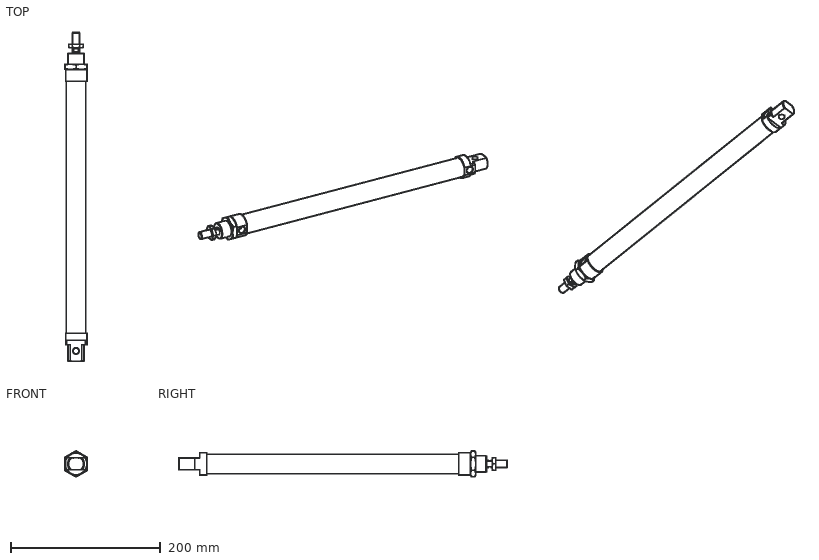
import cadquery as cq
import math

total_length = 440.0

tang_length = 22.0
tang_diameter = 22.0
tang_thickness = 16.0
tang_end_chamfer = 1.0
tang_shoulder = 28.3
pin_hole_diameter = 8.0
pin_hole_y = 14.0

cap_diameter = 30.0
cap_length = 16.0
tube_diameter = 26.5
port_flat_width = 11.6
port_diameter = 8.8
port_depth = 13.0
port_mouth_diameter = 10.0

thread_length = 22.0
front_shoulder_from_tip = 49.4
neck_diameter = 22.0
neck_end_from_tip = 28.0
neck_end_chamfer = 0.8
front_cap_chamfer = 0.5

rod_diameter = 10.0
rod_flat_width = 8.0
rod_flat_length = 4.0
rod_tip_chamfer = 0.8

mounting_nut_width = 30.0
mounting_nut_height = 7.0
mounting_nut_chamfer_diameter = 29.7
rod_nut_width = 17.0
rod_nut_height = 5.0
rod_nut_chamfer_diameter = 17.0
rod_nut_from_tip = 15.5
nut_chamfer_slope = math.tan(math.radians(30))

front_shoulder_y = total_length - front_shoulder_from_tip
front_cap_y = front_shoulder_y - cap_length
rear_cap_end_y = tang_length + cap_length
neck_end_y = total_length - neck_end_from_tip
thread_start_y = total_length - thread_length
port_flat_x = math.sqrt(cap_diameter**2 - port_flat_width**2) / 2


def rod_axis_cylinder(diameter, start_y, end_y):
    """Cylinder around the Y axis between two places along it."""
    plane = cq.Workplane("XZ", origin=(0, start_y, 0))
    return plane.circle(diameter / 2).extrude(start_y - end_y)


def block(x_range, y_range, z_range):
    (x0, x1), (y0, y1), (z0, z1) = x_range, y_range, z_range
    return cq.Workplane("XY").box(x1 - x0, y1 - y0, z1 - z0, centered=False).translate((x0, y0, z0))


def cut_port(body, cap_start_y):
    """Cut a flat along the -X side of a cap and a countersunk air port in its middle."""
    cap_end_y = cap_start_y + cap_length
    radius = cap_diameter / 2
    flat = block((-cap_diameter, -port_flat_x), (cap_start_y, cap_end_y), (-radius, radius))
    port_y = cap_start_y + cap_length / 2
    port = (
        cq.Workplane("YZ", origin=(-port_flat_x, port_y, 0))
        .circle(port_diameter / 2)
        .extrude(port_depth)
    )
    mouth_depth = (port_mouth_diameter - port_diameter) / 2
    mouth = cq.Workplane(
        cq.Solid.makeCone(
            port_mouth_diameter / 2,
            port_diameter / 2,
            mouth_depth,
            pnt=cq.Vector(-port_flat_x, port_y, 0),
            dir=cq.Vector(1, 0, 0),
        )
    )
    return body.cut(flat).cut(port).cut(mouth)


def make_housing():
    """Clevis tang, two caps, tube and threaded neck, with a bore for the rod."""
    body = rod_axis_cylinder(tang_diameter, 0, tang_length)
    body = body.faces("<Y").chamfer(tang_end_chamfer)
    body = body.union(rod_axis_cylinder(cap_diameter, tang_length, rear_cap_end_y))
    body = body.union(rod_axis_cylinder(tube_diameter, rear_cap_end_y, front_cap_y))
    front_cap = rod_axis_cylinder(cap_diameter, front_cap_y, front_shoulder_y)
    body = body.union(front_cap.faces(">Y").chamfer(front_cap_chamfer))
    neck = rod_axis_cylinder(neck_diameter, front_shoulder_y, neck_end_y)
    body = body.union(neck.faces(">Y").chamfer(neck_end_chamfer))
    reach = cap_diameter
    for z_range in ((tang_thickness / 2, reach), (-reach, -tang_thickness / 2)):
        body = body.cut(block((-reach, reach), (0, tang_shoulder), z_range))
    pin_hole = (
        cq.Workplane("XY", origin=(0, pin_hole_y, 0))
        .circle(pin_hole_diameter / 2)
        .extrude(tang_thickness, both=True)
    )
    body = body.cut(pin_hole)
    for cap_start_y in (tang_length, front_cap_y):
        body = cut_port(body, cap_start_y)
    return body.cut(rod_axis_cylinder(rod_diameter, front_cap_y, neck_end_y))


def make_rod():
    """Piston rod with two wrench flats just behind its thread."""
    rod = rod_axis_cylinder(rod_diameter, front_cap_y, total_length)
    rod = rod.faces(">Y").chamfer(rod_tip_chamfer)
    flats = (thread_start_y - rod_flat_length, thread_start_y)
    half = rod_flat_width / 2
    for z_range in ((half, rod_diameter), (-rod_diameter, -half)):
        rod = rod.cut(block((-rod_diameter, rod_diameter), flats, z_range))
    return rod


def make_nut(width, height, bore, chamfer_diameter, start_y, corner_angle, chamfer_front):
    """Hexagon nut with its corners cut back by a cone at the rear face and, if asked, at the front."""
    corner_diameter = width / math.cos(math.pi / 6)
    nut = (
        cq.Workplane("XZ")
        .polygon(6, corner_diameter)
        .circle(bore / 2)
        .extrude(-height)
        .rotate((0, 0, 0), (0, 1, 0), corner_angle)
    )
    corner_radius = corner_diameter / 2
    face_radius = chamfer_diameter / 2
    drop = (corner_radius - face_radius) * nut_chamfer_slope
    envelope = cq.Workplane("XY").lineTo(face_radius, 0).lineTo(corner_radius, drop)
    if chamfer_front:
        envelope = envelope.lineTo(corner_radius, height - drop).lineTo(face_radius, height)
    else:
        envelope = envelope.lineTo(corner_radius, height)
    envelope = envelope.lineTo(0, height).close().revolve(360, (0, 0), (0, 1))
    return nut.intersect(envelope).translate((0, start_y, 0))


housing = make_housing()
rod = make_rod()
mounting_nut = make_nut(
    mounting_nut_width,
    mounting_nut_height,
    neck_diameter,
    mounting_nut_chamfer_diameter,
    front_shoulder_y,
    corner_angle=90,
    chamfer_front=True,
)
rod_nut = make_nut(
    rod_nut_width,
    rod_nut_height,
    rod_diameter,
    rod_nut_chamfer_diameter,
    total_length - rod_nut_from_tip - rod_nut_height,
    corner_angle=0,
    chamfer_front=False,
)

result = cq.Compound.makeCompound([housing.val(), rod.val(), mounting_nut.val(), rod_nut.val()])